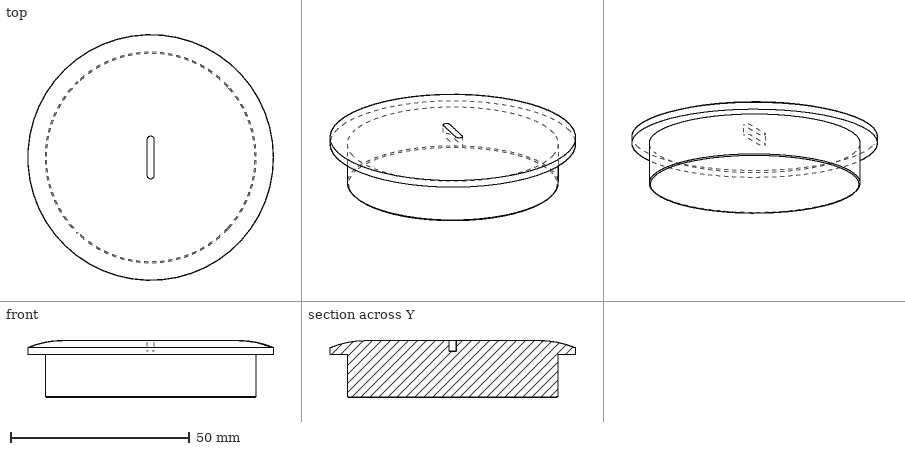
import cadquery as cq

flange_diameter = 69.0
barrel_diameter = 59.3
top_flat_diameter = 49.4
barrel_height = 12.0
rim_height = 2.0
dome_height = 2.0
bottom_chamfer = 0.35
slot_length = 12.0
slot_width = 2.0
slot_depth = 3.0

flange_radius = flange_diameter / 2
barrel_radius = barrel_diameter / 2
flat_radius = top_flat_diameter / 2
rim_top = barrel_height + rim_height
total_height = rim_top + dome_height


def make_body():
    """Revolve the barrel, flange rim and domed edge around Z."""
    profile = (
        cq.Workplane("XZ")
        .lineTo(0, total_height)
        .lineTo(flat_radius, total_height)
        .tangentArcPoint((flange_radius, rim_top), relative=False)
        .lineTo(flange_radius, barrel_height)
        .lineTo(barrel_radius, barrel_height)
        .lineTo(barrel_radius, bottom_chamfer)
        .lineTo(barrel_radius - bottom_chamfer, 0)
        .close()
    )
    return profile.revolve(360, (0, 0, 0), (0, 1, 0))


def make_slot():
    """Round-ended coin slot along Y, blind from the flat top."""
    slot_plane = cq.Workplane("XY").workplane(offset=total_height)
    return slot_plane.slot2D(slot_length, slot_width, 90).extrude(-slot_depth)


result = make_body().cut(make_slot())